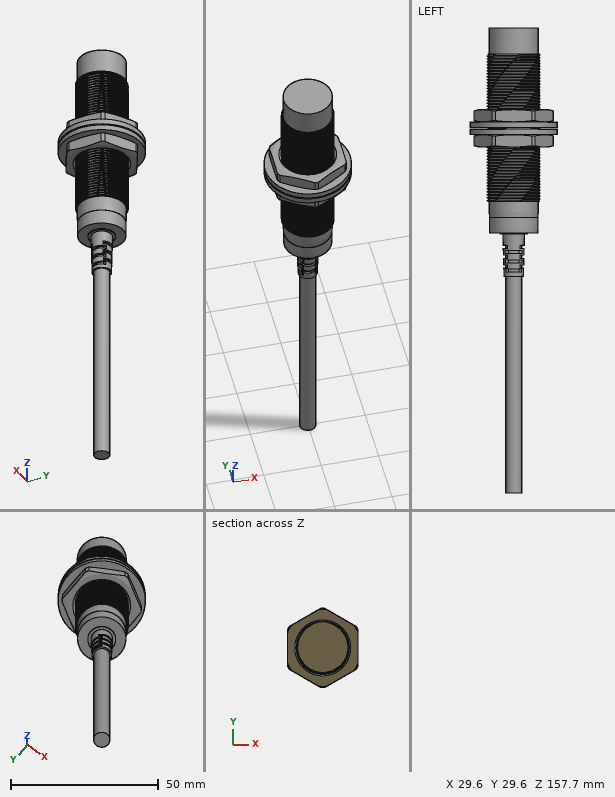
import cadquery as cq
import math


total_height = 157.7
head_radius = 8.4
thread_top = 148.9
thread_bottom = 98.9
band_top = 95.3
band_bottom = 93.4
tail_taper_top = 90.0
housing_bottom = 88.2
tail_radius = 8.28
tail_end_radius = 8.2
boss_radius = 4.7
boss_height = 0.3

thread_radius = 9.0
thread_root_radius = 8.44
thread_turns = 50
thread_pitch = (thread_top - thread_bottom) / thread_turns
spiral_steps = 8

cable_radius = 2.76
relief_top_radius = 3.7
relief_bottom_radius = 3.3
relief_bottom = 73.5
slots_per_side = 3
slot_height = 1.03
slot_floor_offset = 2.0
y_slot_start = 83.5
y_slot_spacing = 3.3
x_slot_start = 81.7
x_slot_spacing = 3.2

clamp_centre = 123.6
washer_gap = 0.5
washer_radius = 14.8
washer_thickness = 1.9
nut_height = 4.3
nut_across_flats = 24.0
nut_corner_radius = 13.48
nut_face_radius = 11.7
nut_chamfer_height = 0.5
bore_chamfer = 0.8


def turned(profile):
    """Solid of revolution about Z from (radius, height) points, with its seam on the -Y side."""
    points = [(-radius, height) for radius, height in profile]
    return cq.Workplane("YZ").polyline(points).close().revolve(360, (0, 0), (0, 1))


def ring(inner_radius, outer_radius, bottom, height):
    """Plain ring with a rectangular section."""
    top = bottom + height
    return turned(
        [(inner_radius, bottom), (outer_radius, bottom), (outer_radius, top), (inner_radius, top)]
    )


def spiral_edge(start_radius, end_radius, start_angle):
    """Half-turn spline whose radius changes evenly with its angle."""
    points = []
    for step in range(spiral_steps + 1):
        fraction = step / spiral_steps
        radius = start_radius + (end_radius - start_radius) * fraction
        angle = start_angle + math.pi * fraction
        points.append(cq.Vector(radius * math.cos(angle), radius * math.sin(angle), thread_bottom))
    return cq.Edge.makeSpline(points)


def threaded_barrel():
    """Right-hand V thread, sewn from the flank faces of one turn, repeated, and two end faces."""
    upper_flank = spiral_edge(thread_radius, thread_root_radius, 0)
    lower_flank = spiral_edge(thread_root_radius, thread_radius, math.pi)
    level_slice = cq.Wire.assembleEdges([upper_flank, lower_flank])
    base = cq.Vector(0, 0, thread_bottom)
    rise = cq.Vector(0, 0, thread_pitch)
    one_turn = cq.Solid.extrudeLinearWithRotation(level_slice, [], base, rise, 360)
    flanks = [face for face in one_turn.Faces() if face.geomType() != "PLANE"]
    end_face = cq.Face.makeFromWires(level_slice)
    faces = [end_face, end_face.moved(cq.Location(rise * thread_turns))]
    for turn in range(thread_turns):
        faces += [flank.moved(cq.Location(rise * turn)) for flank in flanks]
    return cq.Workplane(cq.Solid.makeSolid(cq.Shell.makeShell(faces)))


def head():
    return ring(0, head_radius, thread_top, total_height - thread_top)


def tail():
    """Stepped end of the housing, with a low boss where the cable leaves it."""
    return turned(
        [
            (0, housing_bottom - boss_height),
            (boss_radius, housing_bottom - boss_height),
            (boss_radius, housing_bottom),
            (tail_end_radius, housing_bottom),
            (tail_radius, tail_taper_top),
            (tail_radius, band_bottom),
            (tail_end_radius, band_bottom),
            (head_radius, band_top),
            (head_radius, thread_bottom),
            (0, thread_bottom),
        ]
    )


def slot_pair(height, angle):
    """Two opposite flat-floored slots, which open along Y when the angle is 0."""
    slot_size = 2 * relief_top_radius
    slot_centre = slot_floor_offset + slot_size / 2
    slots = (
        cq.Workplane("XY", origin=(0, 0, height))
        .pushPoints([(0, slot_centre), (0, -slot_centre)])
        .box(slot_size, slot_size, slot_height)
    )
    return slots.rotate((0, 0, 0), (0, 0, 1), angle)


def strain_relief():
    """Tapered sleeve with slots that open alternately along Y and along X."""
    sleeve = turned(
        [
            (0, relief_bottom),
            (relief_bottom_radius, relief_bottom),
            (relief_top_radius, housing_bottom),
            (0, housing_bottom),
        ]
    )
    for index in range(slots_per_side):
        sleeve = sleeve.cut(slot_pair(y_slot_start - index * y_slot_spacing, 0))
        sleeve = sleeve.cut(slot_pair(x_slot_start - index * x_slot_spacing, 90))
    return sleeve


def sensor_body():
    """Threaded housing, strain relief and cable as one solid."""
    cable = ring(0, cable_radius, 0, housing_bottom)
    rear = tail().union(strain_relief()).union(cable)
    return threaded_barrel().union(head(), clean=False).union(rear, clean=False)


def washer(bottom):
    return ring(thread_radius, washer_radius, bottom, washer_thickness)


def nut(bottom):
    """Hexagon nut with flats facing X, trimmed corners and chamfers on both faces."""
    top = bottom + nut_height
    bore_mouth = thread_radius + bore_chamfer
    envelope = turned(
        [
            (bore_mouth, bottom),
            (nut_face_radius, bottom),
            (nut_corner_radius, bottom + nut_chamfer_height),
            (nut_corner_radius, top - nut_chamfer_height),
            (nut_face_radius, top),
            (bore_mouth, top),
            (thread_radius, top - bore_chamfer),
            (thread_radius, bottom + bore_chamfer),
        ]
    )
    across_corners = nut_across_flats / math.cos(math.pi / 6)
    hexagon = (
        cq.Workplane("XY", origin=(0, 0, bottom))
        .polygon(6, across_corners)
        .extrude(nut_height)
        .rotate((0, 0, 0), (0, 0, 1), 30)
    )
    return hexagon.intersect(envelope)


upper_washer_bottom = clamp_centre + washer_gap / 2
upper_nut_bottom = upper_washer_bottom + washer_thickness
lower_washer_bottom = clamp_centre - washer_gap / 2 - washer_thickness
lower_nut_bottom = lower_washer_bottom - nut_height

sensor = sensor_body()
washers = [washer(bottom) for bottom in (lower_washer_bottom, upper_washer_bottom)]
nuts = [nut(bottom) for bottom in (lower_nut_bottom, upper_nut_bottom)]

result = cq.Compound.makeCompound([body.val() for body in [sensor, *washers, *nuts]])